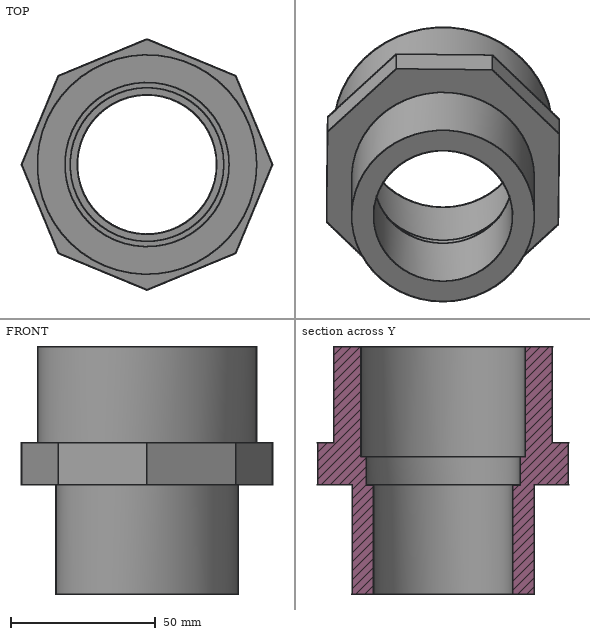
import cadquery as cq

total_height = 85.5
flange_bottom = 37.75
flange_top = 52.4

flange_corner_diameter = 86.6
flange_sides = 8
socket_diameter = 75.7
spigot_diameter = 63.0

socket_bore_diameter = 56.6
socket_bore_depth = 37.9
middle_bore_diameter = 53.0
spigot_bore_diameter = 48.0

socket_floor = total_height - socket_bore_depth
middle_floor = flange_bottom


def cylinder(diameter, bottom, top):
    """Solid cylinder on the Z axis between two heights."""
    return cq.Workplane("XY", origin=(0, 0, bottom)).circle(diameter / 2).extrude(top - bottom)


def octagonal_flange():
    """Wrench flange with corners on the X and Y axes."""
    return (
        cq.Workplane("XY", origin=(0, 0, flange_bottom))
        .polygon(flange_sides, flange_corner_diameter)
        .extrude(flange_top - flange_bottom)
    )


def outer_body():
    """Spigot, octagonal flange and socket stacked along Z."""
    spigot = cylinder(spigot_diameter, 0, flange_bottom)
    socket = cylinder(socket_diameter, flange_top, total_height)
    return spigot.union(octagonal_flange()).union(socket)


def stepped_bore():
    """Through bore that widens in two flat steps toward the socket mouth."""
    spigot_bore = cylinder(spigot_bore_diameter, 0, middle_floor)
    middle_bore = cylinder(middle_bore_diameter, middle_floor, socket_floor)
    socket_bore = cylinder(socket_bore_diameter, socket_floor, total_height)
    return spigot_bore.union(middle_bore).union(socket_bore)


result = outer_body().cut(stepped_bore())